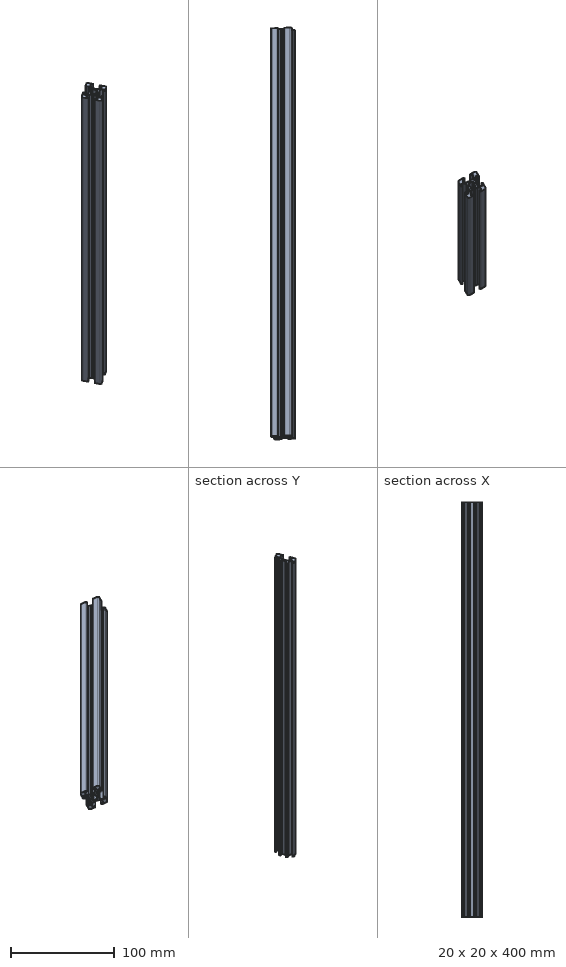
import cadquery as cq
import math

SIDE = 20.0
LENGTH = 400.0
CORNER_RADIUS = 1.48

SLOT_OPENING = 6.0
LIP_THICKNESS = 1.45
LIP_DRAFT = math.radians(15)
LIP_RADIUS = 0.7

SLOT_INNER_WIDTH = 11.28
WEB_THICKNESS = 1.9
CORE_WIDTH = 9.4
GROOVE_WIDTH = 2.2
GROOVE_FLANK_ANGLE = math.radians(30)

BORE_DIAMETER = 5.48
RELIEF_LENGTH = 7.0
RELIEF_WIDTH = 0.86

HALF = SIDE / 2
SIDES = 4


def mirrored(point):
    return (-point[0], point[1])


def turned(solid, angle):
    return solid.rotate((0, 0, 0), (0, 0, 1), angle)


def square_bar():
    bar = cq.Workplane("XY").rect(SIDE, SIDE).extrude(LENGTH)
    return bar.edges("|Z").fillet(CORNER_RADIUS)


def slot():
    """Cutter for the T-slot that opens toward +Y."""
    half_open = SLOT_OPENING / 2
    half_inner = SLOT_INNER_WIDTH / 2
    half_core = CORE_WIDTH / 2
    lip_face = HALF - LIP_THICKNESS
    web_offset = WEB_THICKNESS / math.sqrt(2)
    half_groove = GROOVE_WIDTH / 2
    groove_depth = half_groove * math.tan(GROOVE_FLANK_ANGLE)

    arc_angle = math.pi / 2 - LIP_DRAFT
    sharp_edge = half_open + LIP_THICKNESS * math.tan(LIP_DRAFT)
    arc_center_x = sharp_edge + LIP_RADIUS * math.tan(arc_angle / 2)
    arc_center_y = HALF - LIP_RADIUS

    def lip_arc_point(angle):
        x = arc_center_x - LIP_RADIUS * math.sin(angle)
        y = arc_center_y + LIP_RADIUS * math.cos(angle)
        return (x, y)

    arc_start = lip_arc_point(0)
    arc_middle = lip_arc_point(arc_angle / 2)
    arc_end = lip_arc_point(arc_angle)

    right_side = [
        (half_open, lip_face),
        (half_inner, lip_face),
        (half_inner, half_inner + web_offset),
        (half_core - web_offset, half_core),
        (half_groove, half_core),
    ]
    left_side = [mirrored(point) for point in reversed(right_side)]
    groove_bottom = (0, half_core - groove_depth)

    outline = cq.Workplane("XY").moveTo(*arc_start).threePointArc(arc_middle, arc_end)
    for point in right_side + [groove_bottom] + left_side + [mirrored(arc_end)]:
        outline = outline.lineTo(*point)
    outline = outline.threePointArc(mirrored(arc_middle), mirrored(arc_start))
    return outline.close().extrude(LENGTH)


def bore():
    """Cutter for the round bore and its two crossing diagonal relief slots."""
    cutter = cq.Workplane("XY").circle(BORE_DIAMETER / 2).extrude(LENGTH)
    relief = cq.Workplane("XY").rect(RELIEF_LENGTH, RELIEF_WIDTH).extrude(LENGTH)
    for angle in (45, 135):
        cutter = cutter.union(turned(relief, angle))
    return cutter


def profile():
    bar = square_bar()
    slot_cutter = slot()
    for i in range(SIDES):
        bar = bar.cut(turned(slot_cutter, i * 360 / SIDES))
    return bar.cut(bore())


result = profile()